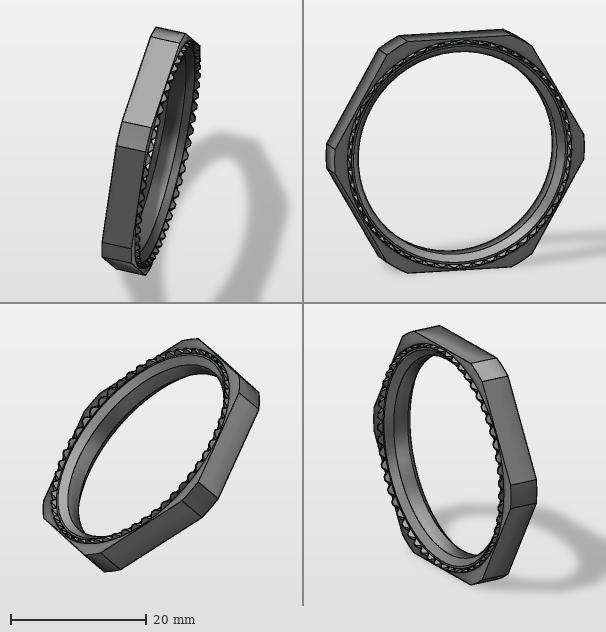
import cadquery as cq
import math

body_thickness = 4.5
across_flats = 35.0
corner_diameter = 38.48

bore_diameter = 30.6
bore_radius = bore_diameter / 2
chamfer_width = 1.05
chamfer_radius = bore_radius + chamfer_width

tooth_height = 0.7
overall_thickness = body_thickness + tooth_height
crown_base_outer_radius = 17.25
crown_base_inner_radius = 16.62
crown_tip_outer_radius = 17.1
crown_tip_inner_radius = 16.95

tooth_count = 55
tooth_pitch_angle = 360 / tooth_count
first_groove_angle = -90
groove_half_width = tooth_height


def revolve_about_x(profile_points):
    """Turn a closed profile of (x, radius) points into a solid around the X axis."""
    return cq.Workplane("XY").polyline(profile_points).close().revolve(360, (0, 0, 0), (1, 0, 0))


def make_body():
    """Hexagon with flats facing +/-Z and its six corners turned round."""
    across_corners = across_flats / math.cos(math.radians(30))
    hexagon = cq.Workplane("YZ").polygon(6, across_corners).extrude(body_thickness)
    turned_blank = cq.Workplane("YZ").circle(corner_diameter / 2).extrude(body_thickness)
    return hexagon.intersect(turned_blank)


def make_bore():
    """Through hole that opens into a chamfer at each face of the body."""
    return revolve_about_x([
        (0, 0),
        (0, chamfer_radius),
        (chamfer_width, bore_radius),
        (body_thickness - chamfer_width, bore_radius),
        (body_thickness, chamfer_radius),
        (body_thickness, 0),
    ])


def make_crown():
    """Tapered ring on the +X face, standing just outside the bore chamfer."""
    return revolve_about_x([
        (body_thickness, crown_base_inner_radius),
        (body_thickness, crown_base_outer_radius),
        (overall_thickness, crown_tip_outer_radius),
        (overall_thickness, crown_tip_inner_radius),
    ])


def make_groove(angle):
    """Radial V groove with its bottom edge in the +X face, turned by an angle about X."""
    groove = (
        cq.Workplane("XZ")
        .moveTo(body_thickness, 0)
        .lineTo(overall_thickness, groove_half_width)
        .lineTo(overall_thickness, -groove_half_width)
        .close()
        .extrude(-corner_diameter / 2)
    )
    return groove.rotate((0, 0, 0), (1, 0, 0), angle)


crown = make_crown()
for tooth in range(tooth_count):
    crown = crown.cut(make_groove(first_groove_angle + tooth * tooth_pitch_angle))

result = make_body().cut(make_bore()).union(crown)